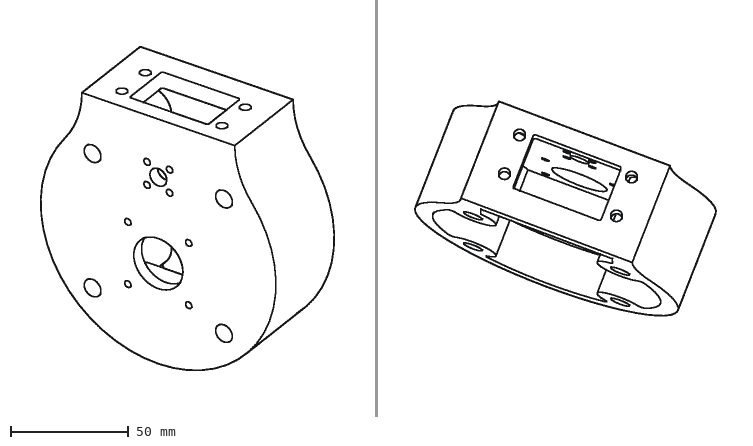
import cadquery as cq
import math

depth = 45.0
front_y = -depth / 2
back_y = depth / 2
body_radius = 60.0
neck_top_z = 62.0
neck_half_width = 39.0
neck_corner_distance = math.hypot(neck_half_width, neck_top_z)
neck_arc_radius = (neck_corner_distance**2 - body_radius**2) / (2 * (body_radius - neck_half_width))
neck_arc_x = neck_half_width + neck_arc_radius
neck_arc_z = neck_top_z

front_wall = 6.0
side_wall = 8.0
roof_thickness = side_wall
neck_chamber_half_width = 30.0
cavity_radius = body_radius - side_wall
cavity_front_y = front_y + front_wall
cavity_top_z = neck_top_z - roof_thickness

post_offset = 33.5
post_radius = 10.5
post_hole_diameter = 8.5
post_fillet = 2.0

motor_z = -10.0
motor_bore_diameter = 25.0
motor_screw_pitch = 31.0
motor_screw_diameter = 3.2

shelf_drop = 20.5
shelf_z = motor_z - shelf_drop
shelf_back_y = 3.6

shaft_z = 33.0
shaft_bore_diameter = 8.5
shaft_screw_pitch = 11.5
shaft_screw_diameter = 3.2

window_width = 40.0
window_length = 25.0
window_y = -2.0
window_corner_radius = 1.0
roof_screw_pitch_x = 51.0
roof_screw_pitch_y = 18.0
roof_screw_y = -3.0
roof_screw_diameter = 5.0


def prism(sketch_builder, start_y, end_y):
    """Extrude an XZ outline from start_y to end_y."""
    plane = cq.Workplane("XZ", origin=(0, start_y, 0))
    return sketch_builder(plane).extrude(start_y - end_y)


def body_outline(plane):
    """Round body blended by concave arcs into the flat-topped neck."""
    blend_angle = math.atan2(neck_arc_z, neck_arc_x)
    blend_x = body_radius * math.cos(blend_angle)
    blend_z = body_radius * math.sin(blend_angle)
    middle_x = neck_arc_x - neck_arc_radius * math.cos(blend_angle / 2)
    middle_z = neck_arc_z - neck_arc_radius * math.sin(blend_angle / 2)
    return (
        plane.moveTo(-neck_half_width, neck_top_z)
        .lineTo(neck_half_width, neck_top_z)
        .threePointArc((middle_x, middle_z), (blend_x, blend_z))
        .threePointArc((0, -body_radius), (-blend_x, blend_z))
        .threePointArc((-middle_x, middle_z), (-neck_half_width, neck_top_z))
        .close()
    )


def square_points(pitch, centre_z):
    """Corners of a square hole pattern centred on X = 0."""
    half = pitch / 2
    return [(sx * half, centre_z + sz * half) for sx in (-1, 1) for sz in (-1, 1)]


def cylinders_along_y(points, diameter, start_y, end_y):
    return prism(lambda plane: plane.pushPoints(points).circle(diameter / 2), start_y, end_y)


def round_chamber(plane):
    return plane.circle(cavity_radius)


def neck_chamber(plane):
    """Rectangle that carries the chamber up into the neck."""
    return plane.center(0, cavity_top_z / 2).rect(2 * neck_chamber_half_width, cavity_top_z)


def make_cavity():
    """Hollow interior, less the four posts and the motor shelf."""
    cavity = prism(round_chamber, cavity_front_y, back_y)
    cavity = cavity.union(prism(neck_chamber, cavity_front_y, back_y))
    posts = cylinders_along_y(square_points(2 * post_offset, 0), 2 * post_radius, cavity_front_y, back_y)
    cavity = round_post_corners(cavity.cut(posts))
    shelf = (
        cq.Workplane("XY")
        .box(2 * body_radius, shelf_back_y - cavity_front_y, body_radius, centered=(True, False, False))
        .translate((0, cavity_front_y, shelf_z - body_radius))
    )
    return cavity.cut(shelf)


def round_post_corners(cavity):
    """Round the edges where the posts meet the chamber walls."""
    reach = post_radius + post_fillet
    for post_x, post_z in square_points(2 * post_offset, 0):
        corner_zone = cq.selectors.BoxSelector(
            (post_x - reach, front_y, post_z - reach),
            (post_x + reach, back_y, post_z + reach),
        )
        cavity = cavity.edges("|Y").edges(corner_zone).fillet(post_fillet)
    return cavity


def make_roof_cuts():
    """Window and screw holes through the roof into the cavity."""
    roof = cq.Workplane("XY", origin=(0, 0, cavity_top_z))
    window = roof.center(0, window_y).rect(window_width, window_length).extrude(roof_thickness)
    window = window.edges("|Z").fillet(window_corner_radius)
    screws = (
        roof.center(0, roof_screw_y)
        .rect(roof_screw_pitch_x, roof_screw_pitch_y, forConstruction=True)
        .vertices()
        .circle(roof_screw_diameter / 2)
        .extrude(roof_thickness)
    )
    return window.union(screws)


def make_housing():
    housing = prism(body_outline, front_y, back_y)
    housing = housing.cut(make_cavity()).cut(make_roof_cuts())
    post_holes = square_points(2 * post_offset, 0)
    housing = housing.cut(cylinders_along_y(post_holes, post_hole_diameter, front_y, back_y))
    wall_holes = (
        ([(0, motor_z)], motor_bore_diameter),
        (square_points(motor_screw_pitch, motor_z), motor_screw_diameter),
        ([(0, shaft_z)], shaft_bore_diameter),
        (square_points(shaft_screw_pitch, shaft_z), shaft_screw_diameter),
    )
    for points, diameter in wall_holes:
        housing = housing.cut(cylinders_along_y(points, diameter, front_y, cavity_front_y))
    return housing


result = make_housing()